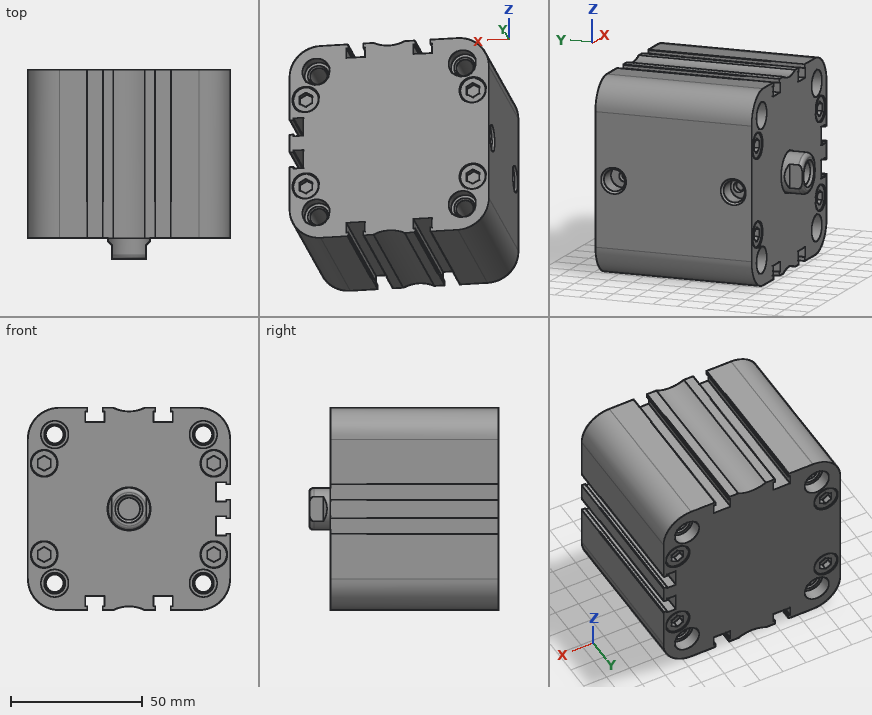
import cadquery as cq
import math


body_width = 77.0
body_length = 64.0
cap_length = 14.0
corner_radius = 12.0
half_width = body_width / 2

slot_offset = 12.95
side_slot_offset = slot_offset / 2
slot_mouth_width = 5.8
slot_chamber_width = 7.2
slot_lip_depth = 1.55
slot_depth = 5.4
slot_rim_chamfer = 0.25

groove_width = 12.0
groove_depth = 1.4

mount_offset = 28.25
mount_bore = 6.65
mount_thread_bore = 8.05
mount_recess_diameter = 10.5
mount_recess_depth = 5.0
mount_chamfer = (mount_thread_bore - mount_bore) / 2

screw_x = 32.25
screw_z = 17.35
screw_hole_diameter = 10.3
screw_head_diameter = 9.8
screw_head_recess = 0.4
screw_gap_depth = 1.5
screw_hex_size = 5.0
screw_hex_turn = 30.0
screw_hex_depth = 2.5

port_inset = 7.5
port_bore = 8.57
port_mouth_diameter = 10.3
port_depth = 8.0
port_chamfer = (port_mouth_diameter - port_bore) / 2
air_hole_diameter = 4.0
air_hole_inset = 8.6
air_hole_depth = 3.0

rod_diameter = 16.0
rod_length = 8.0
rod_rounding = 1.65
rod_seat_diameter = 16.5
rod_seat_depth = 1.0
flat_size = 13.0
flat_start = 2.75
flat_runout = (rod_diameter - flat_size) / 2
rod_bore = 8.38
rod_bore_mouth = 10.5
rod_bore_depth = 20.0
rod_bore_chamfer = (rod_bore_mouth - rod_bore) / 2


def y_cylinder(diameter, start, length, x=0.0, z=0.0):
    """Cylinder parallel to Y that runs from Y = start towards +Y."""
    axis = cq.Vector(0, 1, 0)
    return cq.Workplane(cq.Solid.makeCylinder(diameter / 2, length, cq.Vector(x, start, z), axis))


def y_cone(start_diameter, end_diameter, start, length, x=0.0, z=0.0):
    """Cone parallel to Y that runs from Y = start towards +Y."""
    base = cq.Vector(x, start, z)
    axis = cq.Vector(0, 1, 0)
    return cq.Workplane(cq.Solid.makeCone(start_diameter / 2, end_diameter / 2, length, base, axis))


def mirrored_ends(shape):
    """The shape together with its mirror image at the other end of the body."""
    middle = (0, body_length / 2, 0)
    return shape.union(shape.mirror("XZ", middle))


def corner_points(x, z):
    """The four points at (+-x, +-z)."""
    return [(sx * x, sz * z) for sx in (-1, 1) for sz in (-1, 1)]


def body_block():
    """Square block with rounded long edges, standing for both end caps and the barrel."""
    return (
        cq.Workplane("XY")
        .box(body_width, body_length, body_width)
        .edges("|Y")
        .fillet(corner_radius)
        .translate((0, body_length / 2, 0))
    )


def top_slot(x):
    """T-slot cutter opening to the top, with its rims chamfered behind the front cap."""
    floor = half_width - slot_depth
    lip = half_width - slot_lip_depth
    chamber = (
        cq.Workplane("XY")
        .box(slot_chamber_width, body_length, lip - floor, centered=(True, False, False))
        .translate((x, 0, floor))
    )
    mouth = (
        cq.Workplane("XY")
        .box(slot_mouth_width, body_length, slot_depth, centered=(True, False, False))
        .translate((x, 0, floor))
    )
    rim_half_width = slot_mouth_width / 2
    rims = (
        cq.Workplane("XZ", origin=(x, cap_length, half_width))
        .moveTo(-rim_half_width - slot_rim_chamfer, 0)
        .lineTo(rim_half_width + slot_rim_chamfer, 0)
        .lineTo(rim_half_width, -slot_rim_chamfer)
        .lineTo(-rim_half_width, -slot_rim_chamfer)
        .close()
        .extrude(cap_length - body_length)
    )
    return chamber.union(mouth).union(rims)


def groove():
    """Round groove cutter along the middle of the top."""
    radius = ((groove_width / 2) ** 2 + groove_depth**2) / (2 * groove_depth)
    return y_cylinder(2 * radius, 0, body_length, z=half_width - groove_depth + radius)


def mount_hole(x, z):
    bore = y_cylinder(mount_bore, 0, body_length, x, z)
    recess = y_cylinder(mount_recess_diameter, 0, mount_recess_depth, x, z)
    chamfer = y_cone(mount_thread_bore, mount_bore, mount_recess_depth, mount_chamfer, x, z)
    return bore.union(mirrored_ends(recess.union(chamfer)))


def screw_recess(x, z):
    """Recess above and gap around a sunk screw head, and its hexagon socket."""
    gap = y_cylinder(screw_hole_diameter, 0, screw_gap_depth, x, z).cut(
        y_cylinder(screw_head_diameter, screw_head_recess, screw_gap_depth, x, z)
    )
    hex_diameter = screw_hex_size / math.cos(math.pi / 6)
    socket = (
        cq.Workplane("XZ")
        .polygon(6, hex_diameter)
        .extrude(-screw_head_recess - screw_hex_depth)
        .rotate((0, 0, 0), (0, 1, 0), screw_hex_turn)
        .translate((x, 0, z))
    )
    return mirrored_ends(gap.union(socket))


def port():
    """Chamfered air port with an offset air hole in its floor."""
    mouth = cq.Vector(-half_width, port_inset, 0)
    air_hole_start = cq.Vector(-half_width, air_hole_inset, 0)
    inward = cq.Vector(1, 0, 0)
    bore = cq.Solid.makeCylinder(port_bore / 2, port_depth, mouth, inward)
    chamfer = cq.Solid.makeCone(port_mouth_diameter / 2, port_bore / 2, port_chamfer, mouth, inward)
    air_hole = cq.Solid.makeCylinder(
        air_hole_diameter / 2, port_depth + air_hole_depth, air_hole_start, inward
    )
    return mirrored_ends(cq.Workplane(bore).union(chamfer).union(air_hole))


def rod():
    """Rod end with a rounded rim and two wrench flats whose inner ends run out at 45 degrees."""
    shaft = (
        y_cylinder(rod_diameter, -rod_length, rod_length + rod_seat_depth)
        .faces("<Y")
        .edges()
        .fillet(rod_rounding)
    )
    flat = (
        cq.Workplane("XY")
        .moveTo(flat_size / 2, -rod_length)
        .lineTo(flat_size / 2, -flat_start)
        .lineTo(rod_diameter / 2, flat_runout - flat_start)
        .lineTo(rod_diameter / 2, -rod_length)
        .close()
        .extrude(rod_diameter / 2, both=True)
    )
    return shaft.cut(flat).cut(flat.mirror("YZ"))


def rod_thread_bore():
    bore = y_cylinder(rod_bore, -rod_length, rod_bore_depth)
    return bore.union(y_cone(rod_bore_mouth, rod_bore, -rod_length, rod_bore_chamfer))


body = body_block()

for slot_x in (-slot_offset, slot_offset):
    body = body.cut(top_slot(slot_x))
    body = body.cut(top_slot(slot_x).mirror("XY"))

for slot_z in (-side_slot_offset, side_slot_offset):
    body = body.cut(top_slot(slot_z).rotate((0, 0, 0), (0, 1, 0), 90))

body = body.cut(groove()).cut(groove().mirror("XY"))

for hole_x, hole_z in corner_points(mount_offset, mount_offset):
    body = body.cut(mount_hole(hole_x, hole_z))

for hole_x, hole_z in corner_points(screw_x, screw_z):
    body = body.cut(screw_recess(hole_x, hole_z))

body = body.cut(port())
body = body.cut(y_cylinder(rod_seat_diameter, 0, rod_seat_depth))

result = body.union(rod()).cut(rod_thread_bore())